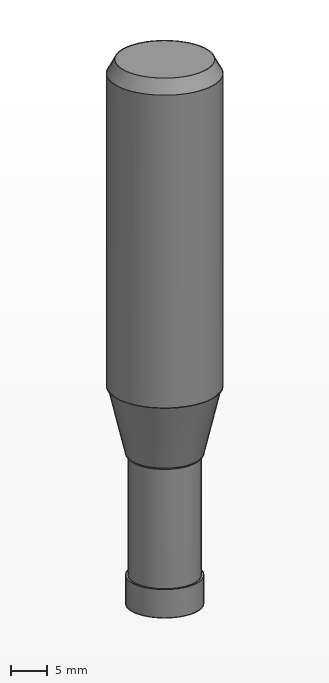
import cadquery as cq

total_length = 81.95
point_height = 2.0
head_top = 6.15
neck_top = 23.7
shank_bottom = 33.9

lower_bevel_height = 0.3
upper_bevel_height = 0.2

shank_radius = 7.95
taper_top_radius = 7.7
taper_bottom_radius = 5.3
neck_radius = 5.0
head_radius = 5.3

chamfer_height = 2.05
chamfer_width = 1.15


def turned(profile):
    """Revolve a closed (radius, height) profile about the Z axis."""
    return cq.Workplane("XZ").polyline(profile).close().revolve(360, (0, 0), (0, 1))


def make_holder():
    """Chamfered shank that tapers down to a slender neck, with a small bevel at each end of the taper."""
    return turned([
        (0, head_top),
        (neck_radius, head_top),
        (neck_radius, neck_top),
        (taper_bottom_radius, neck_top + lower_bevel_height),
        (taper_top_radius, shank_bottom - upper_bevel_height),
        (shank_radius, shank_bottom),
        (shank_radius, total_length - chamfer_height),
        (shank_radius - chamfer_width, total_length),
        (0, total_length),
    ])


def make_cutting_head():
    """Short cylinder with a conical point, seated against the end of the neck."""
    return turned([
        (0, 0),
        (head_radius, point_height),
        (head_radius, head_top),
        (0, head_top),
    ])


holder = make_holder()
cutting_head = make_cutting_head()

result = cq.Compound.makeCompound([holder.val(), cutting_head.val()])